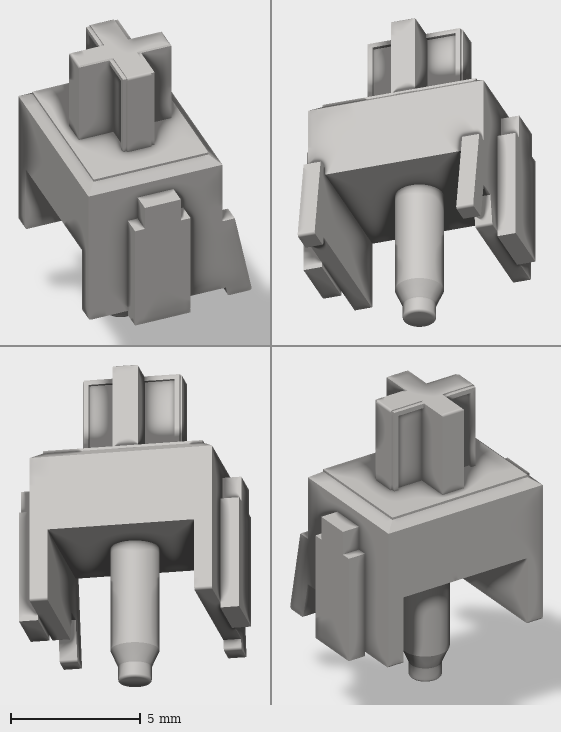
import cadquery as cq


HOUSING_X = 7.2
HOUSING_Y = 5.6
SHOULDER_Z = 5.9
PLATE_X = 6.3
PLATE_Y = 4.8
PLATE_BOTTOM_Z = 6.2
PLATE_TOP_Z = 6.3
LEG_THICKNESS = 0.7
BRIDGE_BOTTOM_Z = 2.9
EDGE_RADIUS = 0.1

HOOK_TOP_Z = 3.2
HOOK_TOP_Y = 3.32
HOOK_BOTTOM_Z = -0.4
HOOK_SLOPE = 0.2
HOOK_HEEL_Y = 2.95
NOTCH_TOP_Z = 1.2
NOTCH_FRONT_Y = 2.0
NOTCH_MOUTH_Y = NOTCH_FRONT_Y - HOOK_SLOPE * NOTCH_TOP_Z
NOTCH_BACK_Y = HOUSING_Y / 2

POST_TOP_Z = 9.8
X_ARM_SPAN = 3.92
Y_ARM_SPAN = 3.88
ARM_WIDTH = 1.0
ARM_END_RADIUS = 0.1
ARM_SIDE_CHAMFER = 0.05
FLANGE_SPAN = 3.78
FLANGE_WIDTH = 1.32
FLANGE_TOP_Z = POST_TOP_Z - 0.05
PANEL_SPAN = 3.4
PANEL_TOP_Z = POST_TOP_Z - 0.24

PIN_DIAMETER = 1.9
TIP_DIAMETER = 1.3
CONE_TOP_Z = -1.3
CONE_BOTTOM_Z = -1.98
PIN_BOTTOM_Z = -2.6
TIP_RADIUS = 0.1

OVERALL_X = 8.7
RAIL_WIDTH = 2.32
TAB_WIDTH = 1.5
RAIL_BOTTOM_Z = -0.2
RAIL_SHOULDER_Z = 4.3
RAIL_TOP_Z = 5.3
PAD_THICKNESS = 0.35
PAD_INSET = 0.2

SIDES = (-1, 1)


def block(x_range, y_range, z_range):
    """Axis-aligned box between the given limits."""
    sizes = [high - low for low, high in (x_range, y_range, z_range)]
    corner = (x_range[0], y_range[0], z_range[0])
    return cq.Workplane("XY").box(*sizes, centered=False).translate(corner)


def centered_block(x_size, y_size, bottom_z, top_z):
    """Box centred on the pin axis."""
    return block((-x_size / 2, x_size / 2), (-y_size / 2, y_size / 2), (bottom_z, top_z))


def leaning_y(top_y, top_z, z):
    """Y at height z of a hook flank that starts at (top_y, top_z)."""
    return top_y + HOOK_SLOPE * (top_z - z)


def leg_span(side):
    """X limits of one leg."""
    outer = side * HOUSING_X / 2
    inner = outer - side * LEG_THICKNESS
    return min(outer, inner), max(outer, inner)


def make_bridge():
    """Top block between the legs, with a sloped rim and a thin raised plate."""
    bridge = centered_block(HOUSING_X, HOUSING_Y, BRIDGE_BOTTOM_Z, SHOULDER_Z)
    rim = (
        cq.Workplane("XY", origin=(0, 0, SHOULDER_Z))
        .rect(HOUSING_X, HOUSING_Y)
        .workplane(offset=PLATE_BOTTOM_Z - SHOULDER_Z)
        .rect(PLATE_X, PLATE_Y)
        .loft(ruled=True)
    )
    plate = centered_block(PLATE_X, PLATE_Y, PLATE_BOTTOM_Z, PLATE_TOP_Z)
    return bridge.union(rim).union(plate)


def make_leg(side):
    """Side wall with its hook; only the -X leg has a notch that frees the hook."""
    hook_tip_y = leaning_y(HOOK_TOP_Y, HOOK_TOP_Z, HOOK_BOTTOM_Z)
    outline = [
        (-HOUSING_Y / 2, 0),
        (-HOUSING_Y / 2, SHOULDER_Z),
        (HOUSING_Y / 2, SHOULDER_Z),
        (HOUSING_Y / 2, HOOK_TOP_Z),
        (HOOK_TOP_Y, HOOK_TOP_Z),
        (hook_tip_y, HOOK_BOTTOM_Z),
    ]
    if side < 0:
        outline += [
            (leaning_y(NOTCH_BACK_Y, NOTCH_TOP_Z, HOOK_BOTTOM_Z), HOOK_BOTTOM_Z),
            (NOTCH_BACK_Y, NOTCH_TOP_Z),
            (NOTCH_FRONT_Y, NOTCH_TOP_Z),
            (NOTCH_MOUTH_Y, 0),
        ]
    else:
        outline += [
            (leaning_y(HOOK_HEEL_Y, 0, HOOK_BOTTOM_Z), HOOK_BOTTOM_Z),
            (HOOK_HEEL_Y, 0),
        ]
    leg = (
        cq.Workplane("YZ", origin=(leg_span(side)[0], 0, 0))
        .polyline(outline)
        .close()
        .extrude(LEG_THICKNESS)
    )
    leg = leg.faces("<Z").edges("|X").fillet(EDGE_RADIUS)
    if side < 0:
        notch_mouth = (sum(leg_span(side)) / 2, NOTCH_MOUTH_Y, 0)
        leg = leg.edges(cq.selectors.NearestToPointSelector(notch_mouth)).fillet(EDGE_RADIUS)
    return leg.faces("<Y").edges("|X and <Z").fillet(EDGE_RADIUS)


def make_post():
    """Cross post: a Y arm, and an X arm whose flanges frame recessed panels."""
    y_arm = centered_block(ARM_WIDTH, Y_ARM_SPAN, PLATE_TOP_Z, POST_TOP_Z)
    y_arm = y_arm.faces(">Z").edges("|Y").chamfer(ARM_SIDE_CHAMFER)
    y_arm = y_arm.edges("|X and >Z").fillet(ARM_END_RADIUS)

    x_arm = centered_block(X_ARM_SPAN, ARM_WIDTH, PLATE_TOP_Z, POST_TOP_Z)
    x_arm = x_arm.edges("|Y and >Z").fillet(ARM_END_RADIUS)

    flange = centered_block(FLANGE_SPAN, FLANGE_WIDTH, PLATE_TOP_Z, FLANGE_TOP_Z)
    panel = centered_block(PANEL_SPAN, FLANGE_WIDTH, PLATE_TOP_Z, PANEL_TOP_Z)
    return y_arm.union(x_arm).union(flange.cut(panel))


def make_pin():
    """Guide pin under the bridge, tapering to a narrower rounded tip."""
    pin_radius = PIN_DIAMETER / 2
    tip_radius = TIP_DIAMETER / 2
    pin = (
        cq.Workplane("XZ")
        .moveTo(0, BRIDGE_BOTTOM_Z)
        .lineTo(pin_radius, BRIDGE_BOTTOM_Z)
        .lineTo(pin_radius, CONE_TOP_Z)
        .lineTo(tip_radius, CONE_BOTTOM_Z)
        .lineTo(tip_radius, PIN_BOTTOM_Z)
        .lineTo(0, PIN_BOTTOM_Z)
        .close()
        .revolve(360, (0, 0, 0), (0, 1, 0))
    )
    return pin.faces("<Z").edges().fillet(TIP_RADIUS)


def make_rail(side, inner_x, bottom_z, top_z):
    """Rail layer from |X| = inner_x to the outer face, with a narrow tab on top."""
    ends = (side * inner_x, side * OVERALL_X / 2)
    x_range = (min(ends), max(ends))
    wide = block(x_range, (-RAIL_WIDTH / 2, RAIL_WIDTH / 2), (bottom_z, RAIL_SHOULDER_Z))
    tab = block(x_range, (-TAB_WIDTH / 2, TAB_WIDTH / 2), (RAIL_SHOULDER_Z, top_z))
    return wide.union(tab)


def make_pad(side):
    """Sliding pad that fills the recess in a rail's outer face."""
    inner_x = OVERALL_X / 2 - PAD_THICKNESS
    return make_rail(side, inner_x, RAIL_BOTTOM_Z + PAD_INSET, RAIL_TOP_Z - PAD_INSET)


def make_stem():
    """Housing, hooks, post, pin and recessed rails as one solid."""
    stem = make_bridge().union(make_post()).union(make_pin())
    for side in SIDES:
        stem = stem.union(make_leg(side))
        stem = stem.union(make_rail(side, HOUSING_X / 2, RAIL_BOTTOM_Z, RAIL_TOP_Z))
        stem = stem.cut(make_pad(side))
    return stem


stem = make_stem()
pads = [make_pad(side) for side in SIDES]

result = cq.Compound.makeCompound([stem.val(), *[pad.val() for pad in pads]])